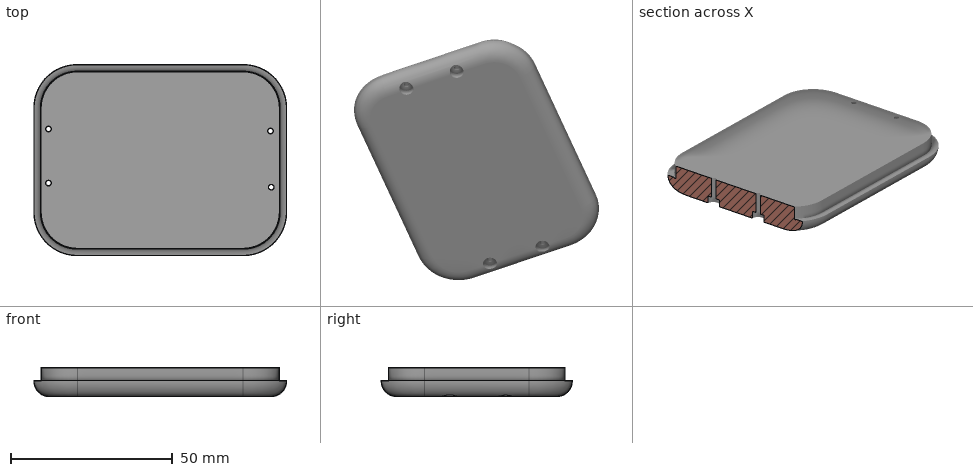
import cadquery as cq

length = 78.15
width = 59.1
height = 9.0

base_height = 4.9
corner_radius = 13.45

panel_inset = 2.3
groove_width = 0.2
groove_depth = 0.2

hole_diameter = 1.65
head_diameter = 4.3
head_depth = 2.35
hole_centres = [(-34.55, 9.6), (-34.55, -7.1), (34.1, 9.0), (34.3, -8.4)]


def rounded_block(inset, bottom, top):
    """Block with rounded corners, set in evenly from the outer sides."""
    return (
        cq.Workplane("XY", origin=(0, 0, bottom))
        .rect(length - 2 * inset, width - 2 * inset)
        .extrude(top - bottom)
        .edges("|Z")
        .fillet(corner_radius - inset)
    )


def rounded_base():
    """Base whose bottom edge is a quarter round reaching up to the ledge."""
    tall_block = rounded_block(0, 0, height).faces("<Z").edges().fillet(base_height)
    return tall_block.intersect(rounded_block(0, 0, base_height))


def vertical_cylinder(diameter, depth, centre):
    """Cylinder rising from the bottom face."""
    return cq.Workplane("XY").center(*centre).circle(diameter / 2).extrude(depth)


groove_floor = base_height - groove_depth
groove = rounded_block(panel_inset - groove_width, groove_floor, base_height)
panel = rounded_block(panel_inset, groove_floor, height)
result = rounded_base().cut(groove).union(panel)

for hole_centre in hole_centres:
    result = result.cut(vertical_cylinder(hole_diameter, height, hole_centre))
    result = result.cut(vertical_cylinder(head_diameter, head_depth, hole_centre))